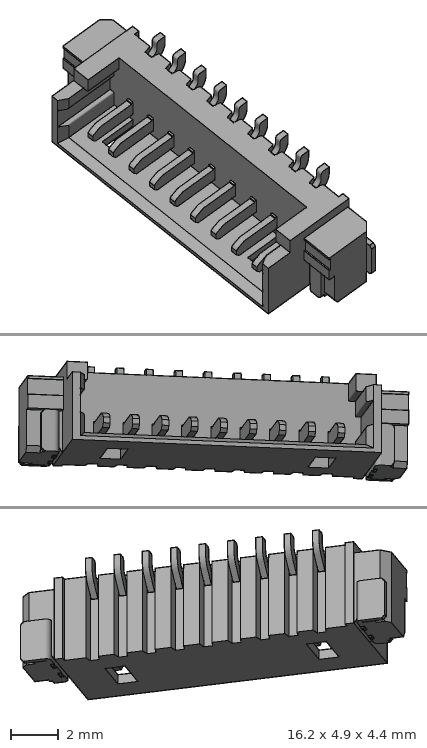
import cadquery as cq
import math


LENGTH = 16.25
HALF_LENGTH = LENGTH / 2

HOUSING_HALF = 6.6
HOUSING_HEIGHT = 3.69
CORNER_REAR = 4.68
REAR = 4.44
POST_INNER_X = 6.22
CAVITY_REAR = 3.05
SIDE_HEIGHT = 2.92
ARM_FRONT = 1.27
ARM_INNER_X = 5.72
ARM_FILLET = 0.08
CAVITY_HALF = 6.01
FLOOR = 0.42
GROOVE_HALF = 6.25
GROOVE_BOTTOM = 1.22
GROOVE_TOP = 2.26
GROOVE_FILLET = 0.06
LEAD_IN = 0.42
LIP_HEIGHT = 0.18

WINDOW_FRONT = 1.28
WINDOW_INNER_X = 4.0
WINDOW_OUTER_X = 4.88

CONTACT_COUNT = 9
PITCH = 1.25
CONTACT_WIDTH = 0.3
BLADE_BOTTOM = 0.8
BLADE_TOP = 1.5
BLADE_TIP = 0.72
NOSE_BEVEL = 0.16
NOSE_FACE_TOP = 1.2
NOSE_SLOPE_LOW = (0.93, 1.36)
NOSE_SLOPE_HIGH = (1.07, 1.45)
NOSE_REAR = 1.24
NOSE_LOWER_RADIUS = 0.39
NOSE_UPPER_RADIUS = 0.32
ROOT_FRONT = 2.95
ROOT_TOP = 1.56
TAIL_REAR = 4.9
TAIL_TOP = 4.32
TAIL_THICKNESS = 0.47
TAIL_TIP_RADIUS = 0.15
BEND_INNER_RADIUS = 0.35
BEND_CENTRE_Z = 3.9
SLOPE_FRONT = 4.18
TAIL_ROOT_BOTTOM = 2.76
TAIL_ROOT_TOP = 3.25
NOTCH_FLOOR = 4.08
NOTCH_FLOOR_WIDTH = 0.39
NOTCH_MOUTH_WIDTH = 0.55

WING_FRONT = 2.08
WING_REAR = 4.62
WING_TOP = 3.2
WING_CHAMFER = 0.39
LABEL_DEPTH = 0.06
LABEL_BOTTOM = 2.4
LABEL_TOP = 3.09
WING_STEP_FRONT = 2.39
STEP_BEVEL_HEIGHT = 0.26
STEP_BEVEL_DEPTH = 0.18
RELIEF_HEIGHT = 0.23

NAIL_HEIGHT = 1.8
NAIL_THICKNESS = 0.23
NAIL_WEB_X = 6.75
NAIL_REAR = 4.86
NAIL_FRONT = WING_STEP_FRONT - NAIL_THICKNESS
REAR_LEG_END = 8.03
FRONT_LEG_END = 7.52
NAIL_END_CHAMFER = 0.13
FOOT_DROP = 0.08
FOOT_LENGTH = 0.32
FOOT_WIDTH = 0.18
FOOT_BEVEL = 0.05
FOOT_CENTRES = (3.0, 4.03)


def block(x_range, y_range, z_range):
    """Axis-aligned box given by its limits."""
    (x0, x1), (y0, y1), (z0, z1) = x_range, y_range, z_range
    return cq.Workplane("XY").box(x1 - x0, y1 - y0, z1 - z0, centered=False).translate((x0, y0, z0))


def with_mirror(solid):
    """The solid together with its mirror image across the YZ plane."""
    return solid.union(solid.mirror("YZ"))


def side_groove():
    """Groove in the +X cavity wall whose two long rims are rounded."""
    return (
        cq.Workplane("XZ")
        .moveTo(CAVITY_HALF, GROOVE_BOTTOM - GROOVE_FILLET)
        .radiusArc((CAVITY_HALF + GROOVE_FILLET, GROOVE_BOTTOM), GROOVE_FILLET)
        .lineTo(GROOVE_HALF, GROOVE_BOTTOM)
        .lineTo(GROOVE_HALF, GROOVE_TOP)
        .lineTo(CAVITY_HALF + GROOVE_FILLET, GROOVE_TOP)
        .radiusArc((CAVITY_HALF, GROOVE_TOP + GROOVE_FILLET), GROOVE_FILLET)
        .close()
        .extrude(-CAVITY_REAR)
    )


def mouth_lead_in():
    """Cut that widens the cavity towards its front face, tapered in plan and along the floor."""
    plan = (
        cq.Workplane("XY")
        .polyline([(-GROOVE_HALF, 0), (GROOVE_HALF, 0), (CAVITY_HALF, LEAD_IN), (-CAVITY_HALF, LEAD_IN)])
        .close()
        .extrude(HOUSING_HEIGHT)
    )
    profile = (
        cq.Workplane("YZ")
        .polyline([(0, LIP_HEIGHT), (LEAD_IN, FLOOR), (LEAD_IN, HOUSING_HEIGHT), (0, HOUSING_HEIGHT)])
        .close()
        .extrude(HOUSING_HALF, both=True)
    )
    return plan.intersect(profile)


def make_housing():
    """Open-fronted box with raised arms, side grooves and two floor windows."""
    body = block((-HOUSING_HALF, HOUSING_HALF), (0, CORNER_REAR), (0, HOUSING_HEIGHT))
    body = body.cut(block((-POST_INNER_X, POST_INNER_X), (REAR, CORNER_REAR), (0, HOUSING_HEIGHT)))
    body = body.cut(block((-HOUSING_HALF, HOUSING_HALF), (0, ARM_FRONT), (SIDE_HEIGHT, HOUSING_HEIGHT)))
    body = body.cut(block((-CAVITY_HALF, CAVITY_HALF), (0, CAVITY_REAR), (FLOOR, HOUSING_HEIGHT)))
    body = body.cut(mouth_lead_in())

    arm = block((ARM_INNER_X, HOUSING_HALF), (ARM_FRONT, CAVITY_REAR), (SIDE_HEIGHT, HOUSING_HEIGHT))
    arm = arm.edges("|Y and <X and <Z").fillet(ARM_FILLET)
    body = body.union(with_mirror(arm))

    window = block((WINDOW_INNER_X, WINDOW_OUTER_X), (WINDOW_FRONT, CAVITY_REAR), (0, FLOOR))
    return body.cut(with_mirror(side_groove())).cut(with_mirror(window))


def step_bevel(face_y, inward):
    """Wedge under the outer end of a wing, cut in from the face at face_y along the inward sign."""
    return (
        cq.Workplane("YZ")
        .polyline([
            (face_y, 0),
            (face_y + inward * STEP_BEVEL_DEPTH, 0),
            (face_y, STEP_BEVEL_HEIGHT),
        ])
        .close()
        .extrude(HALF_LENGTH - FRONT_LEG_END)
        .translate((FRONT_LEG_END, 0, 0))
    )


def make_wing():
    """Wing on the +X side."""
    wing = block((HOUSING_HALF, HALF_LENGTH), (WING_FRONT, WING_REAR), (0, WING_TOP))
    wing = wing.edges("|Z and >X and >Y").chamfer(WING_CHAMFER)
    label = block((HOUSING_HALF, HALF_LENGTH), (WING_FRONT, WING_FRONT + LABEL_DEPTH),
                  (LABEL_BOTTOM, LABEL_TOP))
    step = block((HOUSING_HALF, HALF_LENGTH), (WING_FRONT, WING_STEP_FRONT), (0, NAIL_HEIGHT))
    relief = (
        cq.Workplane("XZ")
        .polyline([(HOUSING_HALF, 0), (NAIL_WEB_X, 0), (NAIL_WEB_X, RELIEF_HEIGHT)])
        .close()
        .extrude(-CORNER_REAR)
    )
    wing = wing.cut(label).cut(step).cut(relief)
    return wing.cut(step_bevel(WING_STEP_FRONT, 1)).cut(step_bevel(WING_REAR, -1))


def make_nail():
    """U-shaped sheet-metal solder nail on the +X side, with two feet under its web."""
    front_leg = block((NAIL_WEB_X, FRONT_LEG_END), (NAIL_FRONT, WING_STEP_FRONT), (0, NAIL_HEIGHT))
    rear_leg = block((NAIL_WEB_X, REAR_LEG_END), (NAIL_REAR - NAIL_THICKNESS, NAIL_REAR), (0, NAIL_HEIGHT))
    front_leg = front_leg.edges("|Y and >X").chamfer(NAIL_END_CHAMFER)
    rear_leg = rear_leg.edges("|Y and >X").chamfer(NAIL_END_CHAMFER)
    web = block((NAIL_WEB_X, NAIL_WEB_X + NAIL_THICKNESS), (NAIL_FRONT, NAIL_REAR), (0, NAIL_HEIGHT))
    nail = web.union(front_leg).union(rear_leg)
    bend_edges = cq.selectors.BoxSelector(
        (0, 0, 0), (NAIL_WEB_X + NAIL_THICKNESS / 2, HALF_LENGTH, NAIL_HEIGHT))
    nail = nail.edges("|Z").edges(bend_edges).fillet(NAIL_THICKNESS)
    for centre in FOOT_CENTRES:
        foot = block((NAIL_WEB_X, NAIL_WEB_X + FOOT_WIDTH),
                     (centre - FOOT_LENGTH / 2, centre + FOOT_LENGTH / 2), (-FOOT_DROP, FOOT_DROP))
        nail = nail.union(foot.faces("<Z").edges().chamfer(FOOT_BEVEL))
    return nail


def make_blade():
    """Mating blade, centred on X, with a rounded nose and a raised shoulder at the rear wall."""
    return (
        cq.Workplane("YZ")
        .moveTo(CAVITY_REAR, BLADE_BOTTOM)
        .lineTo(BLADE_TIP + NOSE_BEVEL, BLADE_BOTTOM)
        .lineTo(BLADE_TIP, BLADE_BOTTOM + NOSE_BEVEL)
        .lineTo(BLADE_TIP, NOSE_FACE_TOP)
        .radiusArc(NOSE_SLOPE_LOW, NOSE_LOWER_RADIUS)
        .lineTo(*NOSE_SLOPE_HIGH)
        .radiusArc((NOSE_REAR, BLADE_TOP), NOSE_UPPER_RADIUS)
        .lineTo(ROOT_FRONT, BLADE_TOP)
        .lineTo(ROOT_FRONT, ROOT_TOP)
        .lineTo(CAVITY_REAR, ROOT_TOP)
        .close()
        .extrude(CONTACT_WIDTH / 2, both=True)
    )


def make_tail():
    """Solder tail, centred on X: slopes out of the rear wall and bends upright."""
    front = TAIL_REAR - TAIL_THICKNESS
    diagonal = math.sqrt(0.5)
    outer_radius = BEND_INNER_RADIUS + TAIL_THICKNESS
    centre_y = front - BEND_INNER_RADIUS
    inner_end = (centre_y + BEND_INNER_RADIUS * diagonal, BEND_CENTRE_Z - BEND_INNER_RADIUS * diagonal)
    outer_end = (centre_y + outer_radius * diagonal, BEND_CENTRE_Z - outer_radius * diagonal)
    slope_end = (SLOPE_FRONT, inner_end[1] - (inner_end[0] - SLOPE_FRONT))
    foot = (outer_end[0] - (outer_end[1] - TAIL_ROOT_BOTTOM), TAIL_ROOT_BOTTOM)
    return (
        cq.Workplane("YZ")
        .moveTo(NOTCH_FLOOR, TAIL_ROOT_BOTTOM)
        .lineTo(*foot)
        .lineTo(*outer_end)
        .radiusArc((TAIL_REAR, BEND_CENTRE_Z), -outer_radius)
        .lineTo(TAIL_REAR, TAIL_TOP)
        .lineTo(front + TAIL_TIP_RADIUS, TAIL_TOP)
        .radiusArc((front, TAIL_TOP - TAIL_TIP_RADIUS), -TAIL_TIP_RADIUS)
        .lineTo(front, BEND_CENTRE_Z)
        .radiusArc(inner_end, BEND_INNER_RADIUS)
        .lineTo(*slope_end)
        .lineTo(NOTCH_FLOOR, TAIL_ROOT_TOP)
        .close()
        .extrude(CONTACT_WIDTH / 2, both=True)
    )


def make_notch():
    """Full-height clearance in the rear wall around a tail, flared towards the rear."""
    half = NOTCH_FLOOR_WIDTH / 2
    mouth = NOTCH_MOUTH_WIDTH / 2
    return (
        cq.Workplane("XY")
        .polyline([(-half, NOTCH_FLOOR), (half, NOTCH_FLOOR), (mouth, REAR), (-mouth, REAR)])
        .close()
        .extrude(HOUSING_HEIGHT)
    )


result = make_housing().union(with_mirror(make_wing().union(make_nail())))
contact = make_blade().union(make_tail())
notch = make_notch()
for index in range(CONTACT_COUNT):
    x = (index - (CONTACT_COUNT - 1) / 2) * PITCH
    result = result.cut(notch.translate((x, 0, 0))).union(contact.translate((x, 0, 0)))